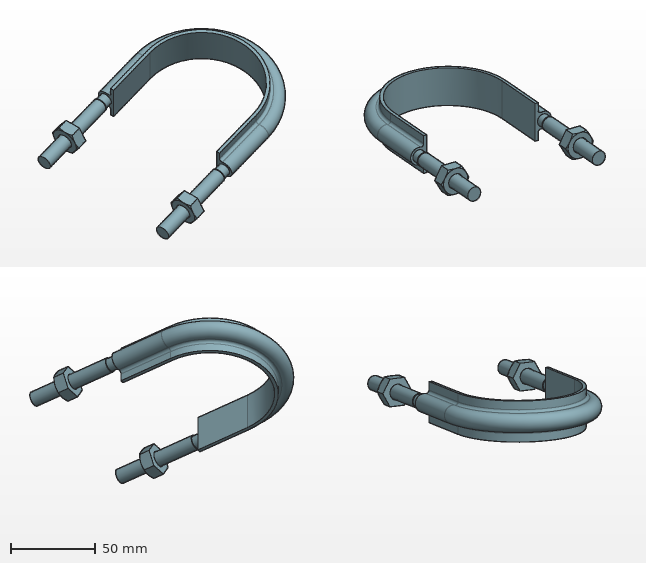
import cadquery as cq
import math

total_length = 146.2
leg_offset = 44.0
neck_diameter = 8.2
thread_diameter = 9.2
thread_length = 55.0

saddle_outer_radius = 49.7
strip_inner_radius = 38.3
strip_thickness = 2.2
strip_height = 25.0
saddle_end_to_tip = 60.5
blend_radius = 1.8

nut_flats = 17.0
nut_height = 7.7
nut_bore_diameter = 9.8
nut_to_tip = 20.3
nut_chamfer_angle = 30.0

tip_y = saddle_outer_radius - total_length
saddle_end_y = tip_y + saddle_end_to_tip
thread_end_y = tip_y + thread_length
nut_y = tip_y + nut_to_tip
leg_sides = (-1, 1)


def u_path(end_y):
    """Two straight legs joined by a half-circle bend."""
    return (
        cq.Workplane("XY")
        .moveTo(-leg_offset, end_y)
        .lineTo(-leg_offset, 0)
        .threePointArc((0, leg_offset), (leg_offset, 0))
        .lineTo(leg_offset, end_y)
    )


def leg_plane(side, y):
    """Plane across a leg: local x is -X, local y is Z, normal is +Y."""
    return cq.Plane(origin=(side * leg_offset, y, 0), xDir=(-1, 0, 0), normal=(0, 1, 0))


def make_neck_rod(end_y):
    return cq.Workplane(leg_plane(-1, end_y)).circle(neck_diameter / 2).sweep(u_path(end_y))


def make_u_bolt():
    bolt = make_neck_rod(thread_end_y)
    for side in leg_sides:
        thread = cq.Workplane(leg_plane(side, tip_y)).circle(thread_diameter / 2).extrude(thread_length)
        bolt = bolt.union(thread)
    return bolt


def make_saddle():
    channel_radius = saddle_outer_radius - leg_offset
    inner_x = strip_inner_radius - leg_offset
    outer_x = inner_x + strip_thickness
    half_height = strip_height / 2

    blend_x = outer_x + blend_radius
    blend_z = math.sqrt((channel_radius + blend_radius) ** 2 - blend_x ** 2)
    channel_share = channel_radius / (channel_radius + blend_radius)
    tangent_x = blend_x * channel_share
    tangent_z = blend_z * channel_share
    middle_angle = (math.pi + math.atan2(-blend_z, -blend_x) % (2 * math.pi)) / 2
    middle_x = blend_x + blend_radius * math.cos(middle_angle)
    middle_z = blend_z + blend_radius * math.sin(middle_angle)

    section = (
        cq.Workplane(leg_plane(-1, saddle_end_y))
        .moveTo(inner_x, -half_height)
        .lineTo(outer_x, -half_height)
        .lineTo(outer_x, -blend_z)
        .threePointArc((middle_x, -middle_z), (tangent_x, -tangent_z))
        .threePointArc((channel_radius, 0), (tangent_x, tangent_z))
        .threePointArc((middle_x, middle_z), (outer_x, blend_z))
        .lineTo(outer_x, half_height)
        .lineTo(inner_x, half_height)
        .close()
    )
    return section.sweep(u_path(saddle_end_y)).cut(make_neck_rod(saddle_end_y))


def make_nut(side):
    nut_corners = nut_flats / math.cos(math.pi / 6)
    face_radius = nut_flats / 2
    chamfer_slope = math.tan(math.radians(nut_chamfer_angle))
    far_radius = face_radius + nut_height / chamfer_slope
    plane = leg_plane(side, nut_y)

    corner_cone = (
        cq.Workplane(plane)
        .circle(face_radius)
        .workplane(offset=nut_height)
        .circle(far_radius)
        .loft()
    )
    nut = cq.Workplane(plane).polygon(6, nut_corners).extrude(nut_height).intersect(corner_cone)
    bore = cq.Workplane(plane).circle(nut_bore_diameter / 2).extrude(nut_height)
    return nut.cut(bore)


u_bolt = make_u_bolt()
saddle = make_saddle()
nuts = [make_nut(side) for side in leg_sides]

result = cq.Compound.makeCompound([u_bolt.val(), saddle.val(), *[nut.val() for nut in nuts]])